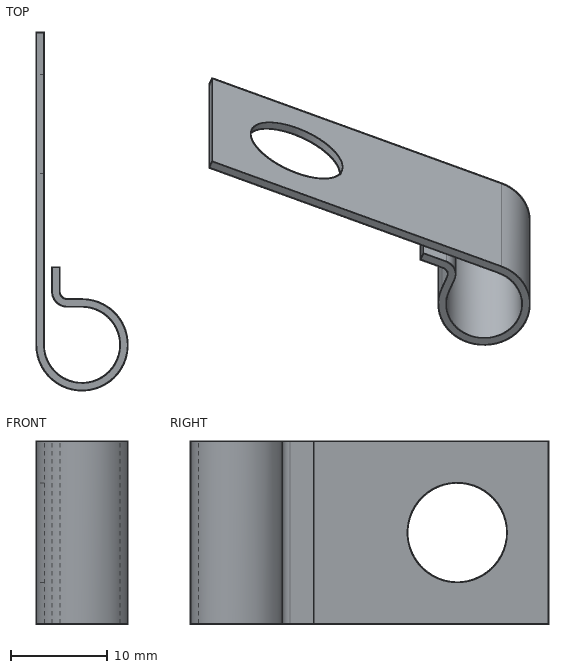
import cadquery as cq

total_length = 37.3
strip_width = 19.05
thickness = 0.82
loop_radius = 4.78
bend_radius = 0.8
tail_gap = 0.82
tail_end_above_loop = 8.1
hole_diameter = 10.35
hole_to_end = 9.5

bore_radius = loop_radius - thickness
bend_outer_radius = bend_radius + thickness
plate_end = total_length - loop_radius
tail_left = -bore_radius + tail_gap
tail_right = tail_left + thickness
bend_x = tail_left + bend_outer_radius
bend_y = bore_radius + bend_outer_radius
diagonal = 0.5**0.5


def strip_profile():
    """Cross-section of the bent strip: plate, loop, bend and tail."""
    return (
        cq.Workplane("XY")
        .moveTo(-loop_radius, plate_end)
        .lineTo(-loop_radius, 0)
        .threePointArc((loop_radius * diagonal, -loop_radius * diagonal), (0, loop_radius))
        .lineTo(bend_x, loop_radius)
        .threePointArc(
            (bend_x - bend_radius * diagonal, bend_y - bend_radius * diagonal),
            (tail_right, bend_y),
        )
        .lineTo(tail_right, tail_end_above_loop)
        .lineTo(tail_left, tail_end_above_loop)
        .lineTo(tail_left, bend_y)
        .threePointArc(
            (bend_x - bend_outer_radius * diagonal, bend_y - bend_outer_radius * diagonal),
            (bend_x, bore_radius),
        )
        .lineTo(0, bore_radius)
        .threePointArc((bore_radius * diagonal, -bore_radius * diagonal), (-bore_radius, 0))
        .lineTo(-bore_radius, plate_end)
        .close()
    )


def plate_hole():
    """Cutter for the round hole through the flat plate only."""
    return (
        cq.Workplane("YZ", origin=(-loop_radius, 0, 0))
        .center(plate_end - hole_to_end, strip_width / 2)
        .circle(hole_diameter / 2)
        .extrude(thickness)
    )


result = strip_profile().extrude(strip_width).cut(plate_hole())